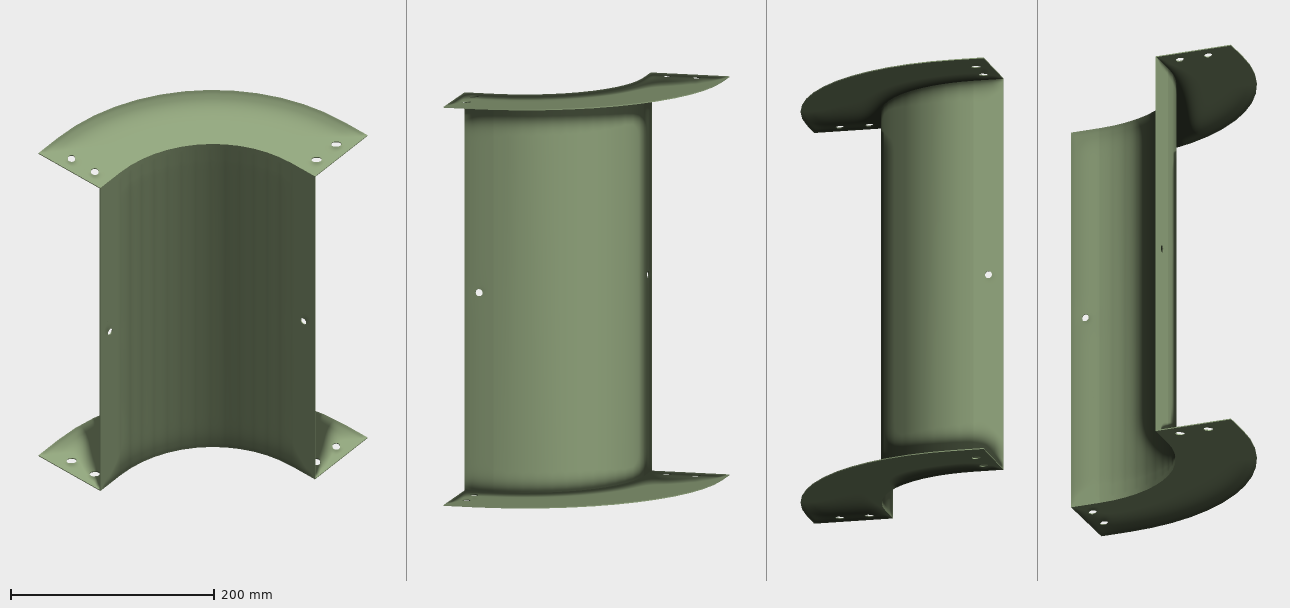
import cadquery as cq

side = 230.0
height = 400.0
flange_width = 80.0
straight_length = 30.0
sheet = 1.0
hole_diameter = 7.0
slot_length = 10.0
slot_angle = 45.0
hole_end_offset = straight_length / 2
flange_slot_offsets = (30.0, 60.0)

half_side = side / 2
half_height = height / 2
outer_radius = side - straight_length
end_hole_position = half_side - hole_end_offset


def bend_band(inset, width, thickness):
    """Quarter-bend band with straight ends, inset from the outer edge, rising from Z = 0."""
    radius_outside = outer_radius - inset
    radius_inside = radius_outside - width
    center_x = half_side - straight_length
    center_y = -half_side + straight_length
    diagonal = 0.5 ** 0.5
    return (
        cq.Workplane("XY")
        .moveTo(center_x - radius_outside, -half_side)
        .lineTo(center_x - radius_outside, center_y)
        .threePointArc(
            (center_x - radius_outside * diagonal, center_y + radius_outside * diagonal),
            (center_x, center_y + radius_outside),
        )
        .lineTo(half_side, center_y + radius_outside)
        .lineTo(half_side, center_y + radius_inside)
        .lineTo(center_x, center_y + radius_inside)
        .threePointArc(
            (center_x - radius_inside * diagonal, center_y + radius_inside * diagonal),
            (center_x - radius_inside, center_y),
        )
        .lineTo(center_x - radius_inside, -half_side)
        .close()
        .extrude(thickness)
    )


def slot_cutter(x, y, angle):
    """Vertical cutter for one rounded slot through a flange lying on Z = 0."""
    return (
        cq.Workplane("XY")
        .center(x, y)
        .slot2D(slot_length, hole_diameter, angle)
        .extrude(sheet)
    )


def slotted_flange(left_angle, right_angle):
    """Flange on Z = 0 with two slots near its -X, -Y end and two near its +X, +Y end."""
    flange = bend_band(0, flange_width, sheet)
    for offset in flange_slot_offsets:
        position = half_side - offset
        flange = flange.cut(slot_cutter(-position, -end_hole_position, left_angle))
        flange = flange.cut(slot_cutter(end_hole_position, position, right_angle))
    return flange


wall = bend_band(flange_width - sheet, sheet, height).translate((0, 0, -half_height))
top_flange = slotted_flange(-slot_angle, slot_angle).translate((0, 0, half_height - sheet))
bottom_flange = slotted_flange(slot_angle, -slot_angle).translate((0, 0, -half_height))
body = wall.union(bottom_flange).union(top_flange)

wall_hole_along_y = (
    cq.Workplane("XZ")
    .center(end_hole_position, 0)
    .circle(hole_diameter / 2)
    .extrude(half_side, both=True)
)
wall_hole_along_x = (
    cq.Workplane("YZ")
    .center(-end_hole_position, 0)
    .circle(hole_diameter / 2)
    .extrude(half_side, both=True)
)

result = body.cut(wall_hole_along_y).cut(wall_hole_along_x)